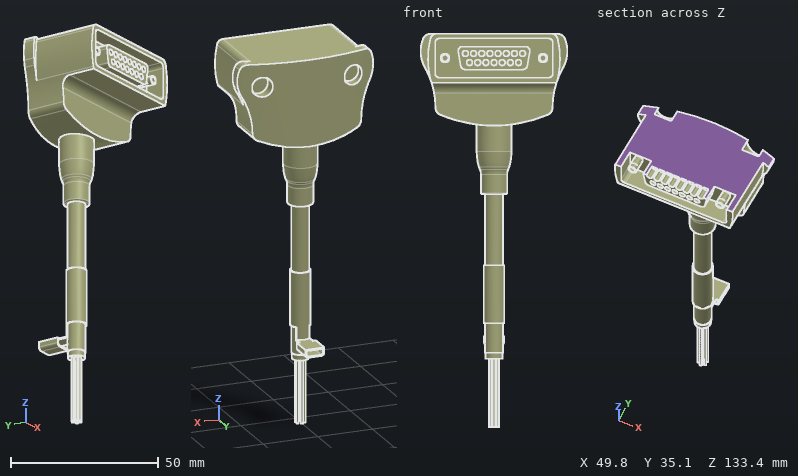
import math

import cadquery as cq


HALF_WIDTH = 24.9
BACK_Y = 8.82
FRONT_Y = -21.94
BACK_RADIUS = 73.5
FLANGE_THICKNESS = 3.9
SKIRT_BOTTOM_Z = -31.2
SKIRT_FRONT_Y = -8.55

CORNER_Z = -1.75
FLANGE_TOP_X = 21.5
FLANGE_CORNER_X = 24.1
FLANGE_BULGE_Z = -5.3
BULGE_END_X = 24.6
BULGE_END_Z = -8.6
WAIST_START_X = 23.8
WAIST_START_Z = -10.9
SKIRT_HALF_WIDTH = 19.9
SKIRT_SIDE_END_Z = -25.0
SKIRT_CORNER_X = 18.3
SKIRT_CORNER_Z = -27.5

BOX_HALF_WIDTH = 22.4
BOX_TOP_X = 19.4
BOX_CORNER_X = 21.6
BOX_BOTTOM_Z = -16.6
BOX_SIDE_END_Z = -15.7
STEP_FILLET = 3.5

RECESS_HALF_WIDTH = 20.0
RECESS_TOP_Z = -1.6
RECESS_HEIGHT = 13.3
RECESS_CORNER = 1.5
RECESS_DEPTH = 6.8
CONNECTOR_Z = RECESS_TOP_Z - RECESS_HEIGHT / 2
INSERT_SETBACK = 0.9
INSERT_TOP_WIDTH = 24.9
INSERT_HEIGHT = 7.8
INSERT_SIDE_ANGLE = 10.0
INSERT_CORNER = 1.5
CONTACT_DIAMETER = 2.0
CONTACT_DEPTH = 4.0
CONTACT_PITCH = 2.77
CONTACT_ROW_SPACING = 3.1
CONTACTS_PER_ROW = (8, 7)

SCREW_X = 16.6
POST_DIAMETER = 3.0
POST_BORE = 2.2
POST_SETBACK = 1.7
POST_BORE_DEPTH = 2.0
SCREW_HEAD_DIAMETER = 7.0
SCREW_HEAD_FLOOR_Y = 3.0

BOOT_DIAMETER = 12.0
BOOT_SHOULDER_DIAMETER = 10.4
BOOT_THROAT_DIAMETER = 9.7
BOOT_TAIL_DIAMETER = 9.0
BOOT_TOP_Z = -27.0
BOOT_TAPER_Z = -39.8
BOOT_SHOULDER_Z = -45.2
BOOT_THROAT_Z = -46.0
BOOT_TAIL_Z = -47.6
BOOT_END_Z = -54.4
BOOT_END_FILLET = 0.5

CABLE_DIAMETER = 6.2
CABLE_END_Z = -108.2
INNER_JACKET_DIAMETER = 5.8
INNER_JACKET_END_Z = -110.3
SLEEVE_DIAMETER = 7.0
SLEEVE_TOP_Z = -78.5
SLEEVE_END_Z = -98.2
WIRE_DIAMETER = 0.9
WIRE_COUNT = 6
WIRE_CIRCLE_RADIUS = 1.45
WIRE_END_Z = -133.4

STRAP_WIDTH = 4.8
SHEET = 0.5
LUG_TOP_Z = -102.6
LUG_FRONT_Y = 5.4
LUG_END_Y = 13.11
LUG_WIDTH = 7.0
LUG_HEIGHT = 3.0
LUG_BEND_RADIUS = 1.2


def rod(diameter, z_top, z_bottom, x=0.0, y=0.0):
    """Upright cylinder between two heights."""
    return cq.Workplane("XY", origin=(x, y, z_bottom)).circle(diameter / 2).extrude(z_top - z_bottom)


def along_y(y_start):
    """XZ sketch plane at y_start; negative extrusion lengths run toward +Y."""
    return cq.Workplane("XZ", origin=(0, y_start, 0))


def bow_cylinder(radius, apex_y):
    """Vertical cylinder as tall as the hood, with its rearmost line at apex_y."""
    return rod(2 * radius, 0, SKIRT_BOTTOM_Z, y=apex_y - radius)


def tangent_arc_radius(dx, dz):
    """Radius, signed like dx, of an arc that starts parallel to dz and ends offset by (dx, dz)."""
    return (dx**2 + dz**2) / (2 * dx)


def tangent_arc_middle(x_end, z_end, x_tangent, z_tangent):
    """Middle point of the arc that is vertical at (x_tangent, z_tangent) and reaches (x_end, z_end)."""
    dz = z_end - z_tangent
    radius = tangent_arc_radius(x_end - x_tangent, dz)
    half_angle = math.asin(dz / radius) / 2
    return (
        x_tangent + radius * (1 - math.cos(half_angle)),
        z_tangent + radius * math.sin(half_angle),
    )


def waist_x(z):
    """Half width of the hood on the concave waist arc at height z."""
    radius = tangent_arc_radius(WAIST_START_X - SKIRT_HALF_WIDTH, WAIST_START_Z - SKIRT_SIDE_END_Z)
    return SKIRT_HALF_WIDTH + radius - math.sqrt(radius**2 - (z - SKIRT_SIDE_END_Z) ** 2)


def half_hood_outline(y_start):
    """Right half of the hood silhouette: bulged shoulder, waist and rounded bottom."""
    waist = tangent_arc_middle(WAIST_START_X, WAIST_START_Z, SKIRT_HALF_WIDTH, SKIRT_SIDE_END_Z)
    half = (
        along_y(y_start)
        .moveTo(0, 0)
        .lineTo(FLANGE_TOP_X, 0)
        .tangentArcPoint((FLANGE_CORNER_X, CORNER_Z), relative=False)
        .threePointArc((HALF_WIDTH, FLANGE_BULGE_Z), (BULGE_END_X, BULGE_END_Z))
        .tangentArcPoint((WAIST_START_X, WAIST_START_Z), relative=False)
        .threePointArc(waist, (SKIRT_HALF_WIDTH, SKIRT_SIDE_END_Z))
        .tangentArcPoint((SKIRT_CORNER_X, SKIRT_CORNER_Z), relative=False)
    )
    bottom_radius = tangent_arc_radius(SKIRT_CORNER_Z - SKIRT_BOTTOM_Z, SKIRT_CORNER_X)
    middle_x = SKIRT_CORNER_X / 2
    middle_z = SKIRT_BOTTOM_Z + bottom_radius - math.sqrt(bottom_radius**2 - middle_x**2)
    return half.threePointArc((middle_x, middle_z), (0, SKIRT_BOTTOM_Z)).close()


def hood_slice(y_start, y_end):
    """Hood silhouette extruded between two Y positions."""
    half = half_hood_outline(y_start).extrude(y_start - y_end)
    return half.union(half.mirror("YZ"))


def make_step_cut():
    """Space under the front of the box and ahead of the skirt, leaving a concave fillet between them."""
    fillet_y = SKIRT_FRONT_Y - STEP_FILLET
    fillet_z = BOX_BOTTOM_Z - STEP_FILLET
    diagonal = STEP_FILLET * math.sqrt(0.5)
    return (
        cq.Workplane("YZ")
        .moveTo(FRONT_Y, BOX_BOTTOM_Z)
        .lineTo(fillet_y, BOX_BOTTOM_Z)
        .threePointArc((fillet_y + diagonal, fillet_z + diagonal), (SKIRT_FRONT_Y, fillet_z))
        .lineTo(SKIRT_FRONT_Y, SKIRT_BOTTOM_Z)
        .lineTo(FRONT_Y, SKIRT_BOTTOM_Z)
        .close()
        .extrude(HALF_WIDTH, both=True)
    )


def make_shell():
    """Skirt, box floor and bowed rear flange: above the floor only the curved flange is left."""
    relief = bow_cylinder(BACK_RADIUS - FLANGE_THICKNESS, BACK_Y - FLANGE_THICKNESS)
    relief = relief.translate((0, 0, BOX_SIDE_END_Z - SKIRT_BOTTOM_Z))
    return hood_slice(FRONT_Y, BACK_Y).cut(make_step_cut()).cut(relief)


def make_box():
    """Upper part of the plug box with bulged sides, ending where its sides meet the waist of the hood."""
    side_end_x = waist_x(BOX_SIDE_END_Z)
    half = (
        along_y(FRONT_Y)
        .moveTo(0, 0)
        .lineTo(BOX_TOP_X, 0)
        .tangentArcPoint((BOX_CORNER_X, CORNER_Z), relative=False)
        .threePointArc((BOX_HALF_WIDTH, (CORNER_Z + BOX_SIDE_END_Z) / 2), (side_end_x, BOX_SIDE_END_Z))
        .lineTo(0, BOX_SIDE_END_Z)
        .close()
        .extrude(FRONT_Y - BACK_Y)
    )
    return half.union(half.mirror("YZ"))


def make_hood():
    """Complete hood, trimmed to the bowed back."""
    return make_shell().union(make_box()).intersect(bow_cylinder(BACK_RADIUS, BACK_Y))


def make_recess():
    """Rounded rectangular pocket in the front of the box."""
    return (
        along_y(FRONT_Y)
        .center(0, CONNECTOR_Z)
        .rect(2 * RECESS_HALF_WIDTH, RECESS_HEIGHT)
        .extrude(-RECESS_DEPTH)
        .edges("|Y")
        .fillet(RECESS_CORNER)
    )


def contact_points():
    """Contact centres relative to the middle of the insert."""
    points = []
    for row, count in enumerate(CONTACTS_PER_ROW):
        z = CONTACT_ROW_SPACING * (0.5 - row)
        points += [((i - (count - 1) / 2) * CONTACT_PITCH, z) for i in range(count)]
    return points


def make_insert():
    """D-shaped connector body with two rows of contact holes."""
    top = INSERT_TOP_WIDTH / 2
    bottom = top - INSERT_HEIGHT * math.tan(math.radians(INSERT_SIDE_ANGLE))
    half_height = INSERT_HEIGHT / 2
    front_y = FRONT_Y + INSERT_SETBACK
    body = (
        along_y(front_y)
        .center(0, CONNECTOR_Z)
        .polyline([(-top, half_height), (top, half_height), (bottom, -half_height), (-bottom, -half_height)])
        .close()
        .extrude(INSERT_SETBACK - RECESS_DEPTH)
        .edges("|Y")
        .fillet(INSERT_CORNER)
    )
    holes = (
        along_y(front_y)
        .center(0, CONNECTOR_Z)
        .pushPoints(contact_points())
        .circle(CONTACT_DIAMETER / 2)
        .extrude(-CONTACT_DEPTH)
    )
    return body.cut(holes)


def screw_cylinders(diameter, y_start, y_end):
    """Pair of cylinders along Y on the two screw axes."""
    return (
        along_y(y_start)
        .center(0, CONNECTOR_Z)
        .pushPoints([(-SCREW_X, 0), (SCREW_X, 0)])
        .circle(diameter / 2)
        .extrude(y_start - y_end)
    )


def make_connector_head():
    """Hood with its socket recess, contact insert, screw posts and rear screw head holes."""
    post_front_y = FRONT_Y + POST_SETBACK
    head = make_hood().cut(make_recess()).union(make_insert())
    head = head.union(screw_cylinders(POST_DIAMETER, post_front_y, FRONT_Y + RECESS_DEPTH))
    head = head.cut(screw_cylinders(POST_BORE, post_front_y, post_front_y + POST_BORE_DEPTH))
    return head.cut(screw_cylinders(SCREW_HEAD_DIAMETER, SCREW_HEAD_FLOOR_Y, BACK_Y))


def make_boot():
    """Revolved strain relief with a rounded shoulder and a narrower tail."""
    top_radius = BOOT_DIAMETER / 2
    shoulder_radius = BOOT_SHOULDER_DIAMETER / 2
    throat_radius = BOOT_THROAT_DIAMETER / 2
    tail_radius = BOOT_TAIL_DIAMETER / 2
    shoulder = tangent_arc_middle(shoulder_radius, BOOT_SHOULDER_Z, top_radius, BOOT_TAPER_Z)
    throat = tangent_arc_middle(throat_radius, BOOT_THROAT_Z, tail_radius, BOOT_TAIL_Z)
    boot = (
        cq.Workplane("XZ")
        .moveTo(0, BOOT_TOP_Z)
        .lineTo(top_radius, BOOT_TOP_Z)
        .lineTo(top_radius, BOOT_TAPER_Z)
        .threePointArc(shoulder, (shoulder_radius, BOOT_SHOULDER_Z))
        .lineTo(throat_radius, BOOT_THROAT_Z)
        .threePointArc(throat, (tail_radius, BOOT_TAIL_Z))
        .lineTo(tail_radius, BOOT_END_Z)
        .lineTo(0, BOOT_END_Z)
        .close()
        .revolve(360, (0, 0, 0), (0, 1, 0))
    )
    return boot.faces("<Z").edges().fillet(BOOT_END_FILLET)


def make_cable():
    """Cable with its sleeve, stripped inner jacket and ring of wires."""
    cable = rod(CABLE_DIAMETER, BOOT_END_Z, CABLE_END_Z)
    cable = cable.union(rod(SLEEVE_DIAMETER, SLEEVE_TOP_Z, SLEEVE_END_Z))
    cable = cable.union(rod(INNER_JACKET_DIAMETER, CABLE_END_Z, INNER_JACKET_END_Z))
    for i in range(WIRE_COUNT):
        angle = math.radians(90 + i * 360 / WIRE_COUNT)
        x = WIRE_CIRCLE_RADIUS * math.cos(angle)
        y = WIRE_CIRCLE_RADIUS * math.sin(angle)
        cable = cable.union(rod(WIRE_DIAMETER, INNER_JACKET_END_Z, WIRE_END_Z, x, y))
    return cable


def make_lug():
    """Strap running down the rear of the cable, flat neck and hollow crimp barrel open at both ends."""
    strap_bottom_z = LUG_TOP_Z - SHEET
    strap_length_z = SLEEVE_END_Z - strap_bottom_z
    rear_band = cq.Workplane("XY").box(STRAP_WIDTH, LUG_END_Y, strap_length_z, centered=(True, False, False))
    rear_band = rear_band.translate((0, 0, strap_bottom_z))
    strap = rod(SLEEVE_DIAMETER, SLEEVE_END_Z, strap_bottom_z).intersect(rear_band)
    neck = cq.Workplane("XY").box(STRAP_WIDTH, LUG_FRONT_Y, SHEET, centered=(True, False, False))
    neck = neck.translate((0, 0, strap_bottom_z))
    lug_length = LUG_END_Y - LUG_FRONT_Y
    middle = (0, LUG_FRONT_Y + lug_length / 2, LUG_TOP_Z - LUG_HEIGHT / 2)
    shell = cq.Workplane("XY").box(LUG_WIDTH, lug_length, LUG_HEIGHT)
    shell = shell.edges("|Y and <Z").fillet(LUG_BEND_RADIUS)
    bore = cq.Workplane("XY").box(LUG_WIDTH - 2 * SHEET, lug_length, LUG_HEIGHT - 2 * SHEET)
    bore = bore.edges("|Y and <Z").fillet(LUG_BEND_RADIUS - SHEET)
    return strap.union(neck).union(shell.cut(bore).translate(middle))


result = make_connector_head().union(make_boot()).union(make_cable()).union(make_lug())